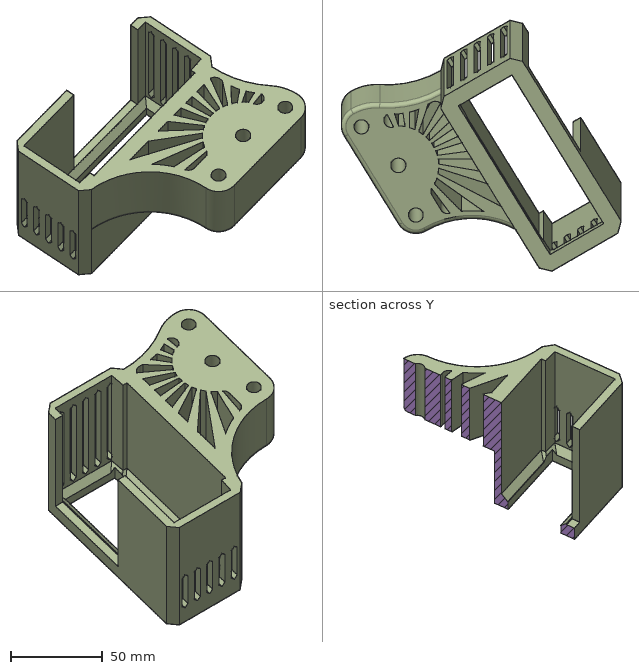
import cadquery as cq
import math

BOX_X = 52.0
BOX_Y = 115.0
HEIGHT = 80.0
CORNER_CHAMFER = 5.0
WALL = 5.0
END_WALL = 4.6
INNER_WALL_X = 44.0
WALL_LEAN = 0.5

RECESS_X = 47.2
RECESS_Y_MIN = 13.2
RECESS_Y_MAX = 101.0

LEDGE_TOP = 10.0
LEDGE_RUN = 4.0
LEDGE_DROP = 4.0
OPENING_X_MAX = 43.0

WINDOW_Y_MIN = 48.1
WINDOW_Y_MAX = 103.8
WINDOW_SILL = 8.9

SLOT_COUNT = 5
SLOT_PITCH = 8.5
SLOT_WIDTH = 4.0
SLOT_TIP = 2.2
SLOT_BOTTOM = 11.4
FRONT_SLOT_TOP = 38.4
BACK_SLOT_TOP = 74.1

BRACKET_X = 111.0
BRACKET_HEIGHT = 40.0
BRACKET_Y_MIN = 45.0
BRACKET_Y_MAX = 125.0
BRACKET_CORNER = 11.0
SHOULDER_RADIUS = 27.0
BRACKET_EDGE_FILLET = 2.5
BRACKET_FLOOR = HEIGHT - BRACKET_HEIGHT
BRACKET_MID_Y = (BRACKET_Y_MIN + BRACKET_Y_MAX) / 2
CORNER_X = BRACKET_X - BRACKET_CORNER
UPPER_CORNER_Y = BRACKET_Y_MAX - BRACKET_CORNER
LOWER_CORNER_Y = BRACKET_Y_MIN + BRACKET_CORNER

CORNER_HOLE_DIAMETER = 8.0
CENTER_HOLE_DIAMETER = 8.2
CENTER_HOLE_X = 93.9

RAY_ORIGIN_X = 86.8
RAY_PITCH = 18.0
RAY_ANGLE = 10.0
RAY_REACH = 75.0
RAYS_PER_SIDE = 5
HUB_X = 94.6
HUB_RADIUS = 22.8
VENT_X_MIN = 56.0
VENT_LOWER_X_MAX = 86.8
VENT_ROUND_END_X = 84.1
VENT_ROUND_END_Y = 108.9
VENT_LOWER_MARGIN = 5.0
VENT_TOP_ARC_X = 63.1
VENT_TOP_ARC_Y = 141.2
VENT_TOP_ARC_RADIUS = 35.0
VENT_ROUND = 4.0

FLANK_RUN = CORNER_X - BOX_X
FLANK_RISE = BRACKET_Y_MIN - CORNER_CHAMFER
FLANK_RADIUS = (FLANK_RUN**2 + FLANK_RISE**2) / (2 * FLANK_RISE)
FLANK_CENTER_Y = BRACKET_Y_MIN - FLANK_RADIUS


def block(x_min, x_max, y_min, y_max, z_min, z_max):
    size = (x_max - x_min, y_max - y_min, z_max - z_min)
    return cq.Workplane("XY").box(*size, centered=False).translate((x_min, y_min, z_min))


def cylinder(x, y, radius):
    return cq.Workplane("XY").center(x, y).circle(radius).extrude(HEIGHT)


def point_on_circle(center, radius, degrees):
    angle = math.radians(degrees)
    return (center[0] + radius * math.cos(angle), center[1] + radius * math.sin(angle))


def tapered_pocket(outline):
    """Straight pocket down to the ledge, then narrowing along the sloping ledge."""
    taper = math.degrees(math.atan(LEDGE_RUN / LEDGE_DROP))
    straight = cq.Workplane("XY", origin=(0, 0, LEDGE_TOP)).polyline(outline).close()
    narrowing = cq.Workplane("XY", origin=(0, 0, LEDGE_TOP)).polyline(outline).close()
    return straight.extrude(HEIGHT).union(narrowing.extrude(-LEDGE_DROP, taper=taper))


def cavity():
    y_max = BOX_Y - END_WALL
    recess_wall_x = INNER_WALL_X + WALL_LEAN
    main = tapered_pocket([
        (WALL, END_WALL),
        (INNER_WALL_X, END_WALL),
        (recess_wall_x, RECESS_Y_MIN),
        (recess_wall_x, RECESS_Y_MAX),
        (INNER_WALL_X, y_max),
        (WALL, y_max),
    ])
    recess = tapered_pocket([
        (WALL, RECESS_Y_MIN),
        (RECESS_X, RECESS_Y_MIN),
        (RECESS_X, RECESS_Y_MAX),
        (WALL, RECESS_Y_MAX),
    ])
    x_min = WALL + LEDGE_RUN
    y_inset = END_WALL + LEDGE_RUN
    opening = block(x_min, OPENING_X_MAX, y_inset, BOX_Y - y_inset, 0, LEDGE_TOP)
    return main.union(recess).union(opening)


def wall_slots(y_min, z_max):
    """Row of slots with pointed ends, cut through one wall that starts at y_min."""
    half = SLOT_WIDTH / 2
    first_x = BOX_X / 2 - SLOT_PITCH * (SLOT_COUNT - 1) / 2
    slots = cq.Workplane("XZ", origin=(0, y_min, 0))
    for index in range(SLOT_COUNT):
        x = first_x + index * SLOT_PITCH
        slots = slots.polyline([
            (x, SLOT_BOTTOM),
            (x + half, SLOT_BOTTOM + SLOT_TIP),
            (x + half, z_max - SLOT_TIP),
            (x, z_max),
            (x - half, z_max - SLOT_TIP),
            (x - half, SLOT_BOTTOM + SLOT_TIP),
        ]).close()
    return slots.extrude(-END_WALL)


def bracket():
    """Plate with a concave flank on either side, standing on the outer +X face of the box."""
    start = (BOX_X, BOX_Y - CORNER_CHAMFER)
    shoulder_center = (CORNER_X, BRACKET_Y_MAX - SHOULDER_RADIUS)
    run = CORNER_X - start[0]
    drop = start[1] - shoulder_center[1]
    flank_radius = (run**2 + drop**2 - SHOULDER_RADIUS**2) / (2 * (SHOULDER_RADIUS - drop))
    flank_center = (start[0], start[1] + flank_radius)
    descent = math.degrees(math.atan2(flank_center[1] - shoulder_center[1], run))
    meeting = point_on_circle(shoulder_center, SHOULDER_RADIUS, 180 - descent)
    flank_mid = point_on_circle(flank_center, flank_radius, -(90 + descent) / 2)
    shoulder_mid = point_on_circle(shoulder_center, SHOULDER_RADIUS, (270 - descent) / 2)

    upper_mid = point_on_circle((CORNER_X, UPPER_CORNER_Y), BRACKET_CORNER, 45)
    lower_mid = point_on_circle((CORNER_X, LOWER_CORNER_Y), BRACKET_CORNER, -45)
    end_angle = math.degrees(math.atan2(CORNER_CHAMFER - FLANK_CENTER_Y, -FLANK_RUN))
    lower_flank_mid = point_on_circle((CORNER_X, FLANK_CENTER_Y), FLANK_RADIUS, (90 + end_angle) / 2)
    plate = (
        cq.Workplane("XY", origin=(0, 0, BRACKET_FLOOR))
        .moveTo(*start)
        .threePointArc(flank_mid, meeting)
        .threePointArc(shoulder_mid, (CORNER_X, BRACKET_Y_MAX))
        .threePointArc(upper_mid, (BRACKET_X, UPPER_CORNER_Y))
        .lineTo(BRACKET_X, LOWER_CORNER_Y)
        .threePointArc(lower_mid, (CORNER_X, BRACKET_Y_MIN))
        .threePointArc(lower_flank_mid, (BOX_X, CORNER_CHAMFER))
        .close()
        .extrude(BRACKET_HEIGHT)
    )
    outer_edges = plate.faces("<Z").edges("not <X")
    return outer_edges.fillet(BRACKET_EDGE_FILLET)


def vent_field():
    """Region the rays may open: clear of the flanks and the hub, with rounded corners."""
    hub = cylinder(HUB_X, BRACKET_MID_Y, HUB_RADIUS)
    upper = block(VENT_X_MIN, VENT_ROUND_END_X, BRACKET_MID_Y, BRACKET_Y_MAX, 0, HEIGHT)
    upper = upper.cut(cylinder(VENT_TOP_ARC_X, VENT_TOP_ARC_Y, VENT_TOP_ARC_RADIUS))
    upper = upper.edges("|Z").edges("<X").edges(">Y").fillet(VENT_ROUND)
    upper = upper.cut(hub).union(cylinder(VENT_ROUND_END_X, VENT_ROUND_END_Y, VENT_ROUND))

    lower = block(VENT_X_MIN, VENT_LOWER_X_MAX, 0, BRACKET_MID_Y, 0, HEIGHT)
    lower = lower.cut(cylinder(CORNER_X, FLANK_CENTER_Y, FLANK_RADIUS + VENT_LOWER_MARGIN))
    lower = lower.cut(hub).edges("|Z and >X").fillet(VENT_ROUND)
    return upper.union(lower)


def sunburst_vents():
    origin = (RAY_ORIGIN_X, BRACKET_MID_Y)
    rays = cq.Workplane("XY")
    for index in range(-RAYS_PER_SIDE, RAYS_PER_SIDE + 1):
        direction = 180 + index * RAY_PITCH
        rays = rays.polyline([
            origin,
            point_on_circle(origin, RAY_REACH, direction - RAY_ANGLE / 2),
            point_on_circle(origin, RAY_REACH, direction + RAY_ANGLE / 2),
        ]).close().extrude(HEIGHT, combine=True)
    return vent_field().intersect(rays)


box = block(0, BOX_X, 0, BOX_Y, 0, HEIGHT).edges("|Z").chamfer(CORNER_CHAMFER)
holes = (
    cylinder(CORNER_X, UPPER_CORNER_Y, CORNER_HOLE_DIAMETER / 2)
    .union(cylinder(CORNER_X, LOWER_CORNER_Y, CORNER_HOLE_DIAMETER / 2))
    .union(cylinder(CENTER_HOLE_X, BRACKET_MID_Y, CENTER_HOLE_DIAMETER / 2))
)

result = (
    box.union(bracket())
    .cut(cavity())
    .cut(block(0, WALL, WINDOW_Y_MIN, WINDOW_Y_MAX, WINDOW_SILL, HEIGHT))
    .cut(wall_slots(0, FRONT_SLOT_TOP))
    .cut(wall_slots(BOX_Y - END_WALL, BACK_SLOT_TOP))
    .cut(sunburst_vents())
    .cut(holes)
)